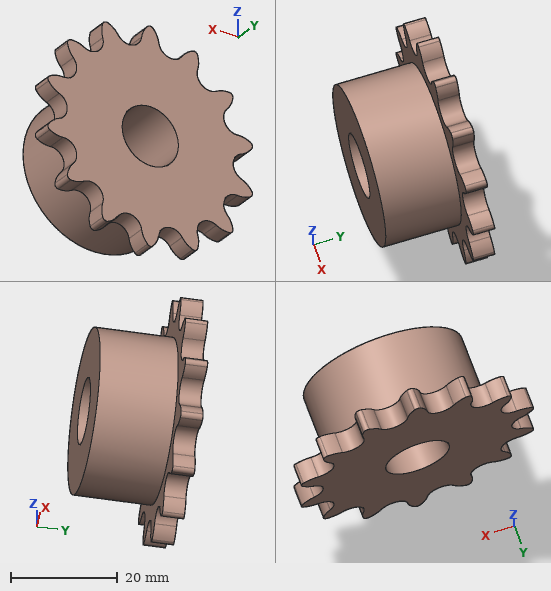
import cadquery as cq
import math

TOOTH_COUNT = 14
TIP_RADIUS = 23.72
SEAT_CIRCLE_RADIUS = 21.7
SEAT_RADIUS = 2.9
FLANK_RADIUS = 5.12
CREST_RADIUS = 0.85

PLATE_THICKNESS = 4.2
TOTAL_LENGTH = 19.1
HUB_LENGTH = TOTAL_LENGTH - PLATE_THICKNESS
HUB_DIAMETER = 31.8
BORE_DIAMETER = 12.7

TOOTH_PITCH = 2 * math.pi / TOOTH_COUNT


def polar(radius, angle):
    """Point at an angle measured from the vertical, positive to the right."""
    return (radius * math.sin(angle), radius * math.cos(angle))


def turn(point, angle):
    """Point turned to the right about the axis."""
    x, z = point
    return (x * math.cos(angle) + z * math.sin(angle), z * math.cos(angle) - x * math.sin(angle))


def mirror(point):
    """Point reflected across the centre line of the upright tooth."""
    return (-point[0], point[1])


def toward(start, target, distance):
    """Point at a distance from start, on the line through target."""
    ratio = distance / math.dist(start, target)
    return (start[0] + ratio * (target[0] - start[0]), start[1] + ratio * (target[1] - start[1]))


def flank_center(seat, crest):
    """Centre of the flank arc tangent to the seat arc outside and the crest arc inside."""
    to_seat = FLANK_RADIUS + SEAT_RADIUS
    to_crest = FLANK_RADIUS - CREST_RADIUS
    gap = math.dist(seat, crest)
    along = (gap**2 + to_seat**2 - to_crest**2) / (2 * gap)
    across = math.sqrt(to_seat**2 - along**2)
    ux = (crest[0] - seat[0]) / gap
    uz = (crest[1] - seat[1]) / gap
    return (seat[0] + along * ux + across * uz, seat[1] + along * uz - across * ux)


def tooth_plate():
    """Toothed plate, with one tooth pointing straight up along Z."""
    seat = polar(SEAT_CIRCLE_RADIUS, -TOOTH_PITCH / 2)
    crest = (0, TIP_RADIUS - CREST_RADIUS)
    flank = flank_center(seat, crest)

    valley = polar(SEAT_CIRCLE_RADIUS - SEAT_RADIUS, TOOTH_PITCH / 2)
    flank_start = toward(seat, flank, SEAT_RADIUS)
    flank_end = toward(flank, crest, FLANK_RADIUS)
    middle = ((flank_start[0] + flank_end[0]) / 2, (flank_start[1] + flank_end[1]) / 2)
    flank_middle = toward(flank, middle, FLANK_RADIUS)
    tip = (0, TIP_RADIUS)

    outline = cq.Workplane("XZ").moveTo(*flank_start)
    for index in range(TOOTH_COUNT):
        angle = index * TOOTH_PITCH
        next_start = turn(flank_start, angle + TOOTH_PITCH)
        if index == TOOTH_COUNT - 1:
            next_start = flank_start
        outline = (
            outline
            .threePointArc(turn(flank_middle, angle), turn(flank_end, angle))
            .threePointArc(turn(tip, angle), turn(mirror(flank_end), angle))
            .threePointArc(turn(mirror(flank_middle), angle), turn(mirror(flank_start), angle))
            .threePointArc(turn(valley, angle), next_start)
        )
    return outline.close().extrude(-PLATE_THICKNESS)


def hub():
    return cq.Workplane("XZ").circle(HUB_DIAMETER / 2).extrude(HUB_LENGTH)


def bore():
    """Through hole along the whole length of the sprocket."""
    return (
        cq.Workplane("XZ", origin=(0, PLATE_THICKNESS, 0))
        .circle(BORE_DIAMETER / 2)
        .extrude(TOTAL_LENGTH)
    )


result = tooth_plate().union(hub()).cut(bore())